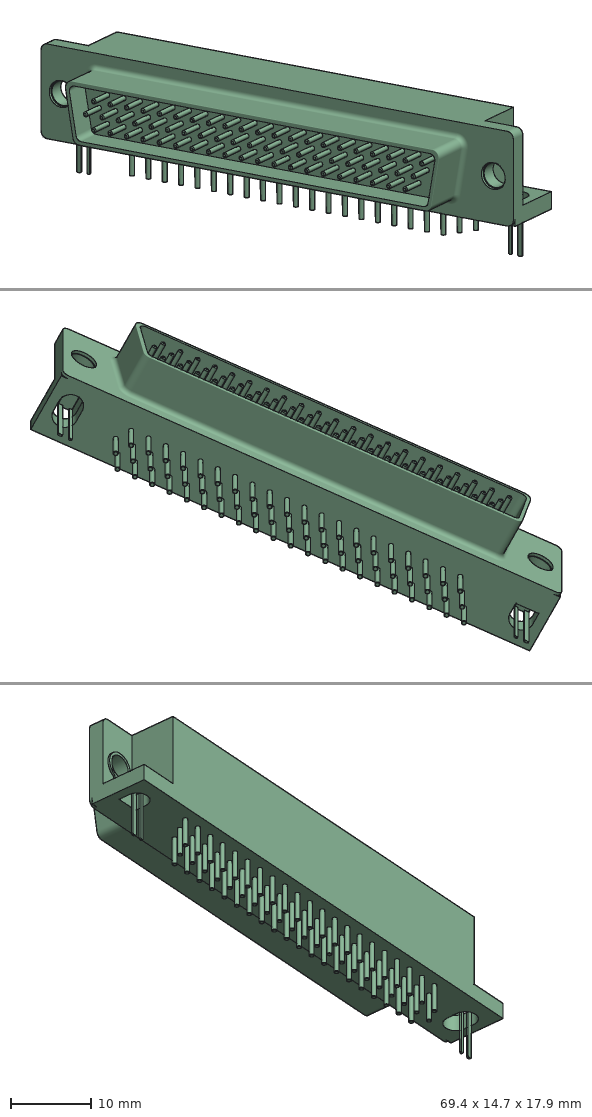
import cadquery as cq
import math


LENGTH = 69.4
DEPTH = 8.9
HEIGHT = 12.35
WING = 5.55
FLANGE = 2.2
PLATE = 0.4
SHELF = 2.3
CORNER_RADIUS = 0.9
MID_HEIGHT = HEIGHT / 2

HOLE_SPACING = 63.5
HOLE_DIAMETER = 3.2
PLATE_HOLE_DIAMETER = 3.5
SLOT_WIDTH = 3.2
SLOT_START = DEPTH - 2.0
SLOT_END = 2.1

SHELL_LENGTH = 5.8
SHELL_HEIGHT = 8.2
SHELL_TOP_WIDTH = 55.3
SIDE_ANGLE = 10.0
SHELL_RADIUS = 1.0
WALL = 0.55
SOCKET_FLOOR = 2.3
SOCKET_RADIUS = 0.75
BASE_RADIUS = 0.6
RIM_RADIUS = 0.1
PICK_MARGIN = 0.1

CONTACT_DIAMETER = 0.64
ROW_PITCH = 1.9
ROW_COUNTS = (20, 21, 21)
FULL_ROW_SPAN = 48.15
CONTACT_PITCH = FULL_ROW_SPAN / (max(ROW_COUNTS) - 1)
PIN_LENGTH = 5.6
TAIL_LENGTH = 3.95
TAIL_ROW_DEPTH = DEPTH - 3.6
PIN_CHAMFER = 0.15
TAIL_CHAMFER = 0.1
CONTACT_ROOT = 0.4

LOCK_THICKNESS = 0.3
LOCK_RING_DIAMETER = 4.0
LOCK_WIDTH = 1.95
LOCK_LEG_LENGTH = 5.55
OUTER_LEG = 0.6
INNER_LEG = 0.4
LEG_CHAMFER = 0.15
BEND_RADIUS = 0.2


def box(x_min, x_max, y_min, y_max, z_min, z_max):
    """Box given by its limits along each axis."""
    size = (x_max - x_min, y_max - y_min, z_max - z_min)
    return cq.Workplane("XY").box(*size, centered=False).translate((x_min, y_min, z_min))


def make_housing():
    """Long block with a face plate, open end corners and rounded flange corners."""
    half = LENGTH / 2
    body = box(-half, half, PLATE, DEPTH, 0, HEIGHT)
    body = body.edges("|Y and >Z").fillet(CORNER_RADIUS)
    plate = box(-half, half, 0, PLATE, 0, HEIGHT).edges("|Y").fillet(CORNER_RADIUS)
    body = body.union(plate)
    for side in (-1, 1):
        x_inner, x_outer = side * (half - WING), side * half
        corner = box(min(x_inner, x_outer), max(x_inner, x_outer), FLANGE, DEPTH, SHELF, HEIGHT)
        body = body.cut(corner)
    return body


def shelf_slot(x, round_front):
    """Upright slot through a shelf; the rear end is round, the front round or flat."""
    radius = SLOT_WIDTH / 2
    rear_center = SLOT_START - radius
    front_center = SLOT_END + radius
    slot = box(x - radius, x + radius, front_center, rear_center, 0, SHELF)
    round_ends = (rear_center, front_center) if round_front else (rear_center,)
    for y in round_ends:
        slot = slot.union(cq.Workplane("XY").center(x, y).circle(radius).extrude(SHELF))
    return slot


def d_prism(inset, corner_radius, start):
    """D-shaped prism from y = -start to the rim, its outline inset from the shell."""
    lean = math.radians(SIDE_ANGLE)
    half_height = SHELL_HEIGHT / 2 - inset
    mid_half_width = (SHELL_TOP_WIDTH - SHELL_HEIGHT * math.tan(lean)) / 2 - inset / math.cos(lean)
    top = mid_half_width + half_height * math.tan(lean)
    bottom = mid_half_width - half_height * math.tan(lean)
    outline = [(-top, half_height), (top, half_height), (bottom, -half_height), (-bottom, -half_height)]
    prism = (
        cq.Workplane("XZ", origin=(0, -start, MID_HEIGHT))
        .polyline(outline)
        .close()
        .extrude(SHELL_LENGTH - start)
    )
    return prism.edges("|Y").fillet(corner_radius)


def make_shell(body):
    """Hollow D-shaped shell with a hollow fillet at its foot and a softened rim."""
    body = body.union(d_prism(0, SHELL_RADIUS, 0))
    pick_x = SHELL_TOP_WIDTH / 2 + PICK_MARGIN
    pick_z = SHELL_HEIGHT / 2 + PICK_MARGIN
    foot_edges = cq.selectors.BoxSelector(
        (-pick_x, -PICK_MARGIN, MID_HEIGHT - pick_z),
        (pick_x, PICK_MARGIN, MID_HEIGHT + pick_z),
    )
    body = body.edges(foot_edges).fillet(BASE_RADIUS)
    body = body.faces("<Y").edges().fillet(RIM_RADIUS)
    return body.cut(d_prism(WALL, SOCKET_RADIUS, SOCKET_FLOOR))


def contact(length, tip_chamfer):
    """Round contact from its root at z = 0 down to its chamfered tip."""
    wire = cq.Workplane("XY").circle(CONTACT_DIAMETER / 2).extrude(-length)
    return wire.faces("<Z").chamfer(tip_chamfer)


def add_contacts(body):
    """Three rows of mating pins and the matching rows of solder tails."""
    pin = contact(PIN_LENGTH + CONTACT_ROOT, PIN_CHAMFER).rotate((0, 0, 0), (1, 0, 0), -90)
    tail = contact(TAIL_LENGTH + CONTACT_ROOT, TAIL_CHAMFER)
    first_x = -FULL_ROW_SPAN / 2 - CONTACT_PITCH / 4
    solids = []
    for row, count in enumerate(ROW_COUNTS):
        offset = (row - 1) * ROW_PITCH
        stagger = abs(row - 1) * CONTACT_PITCH / 2
        for i in range(count):
            x = first_x + stagger + i * CONTACT_PITCH
            solids.append(pin.val().translate(cq.Vector(x, CONTACT_ROOT, MID_HEIGHT + offset)))
            solids.append(tail.val().translate(cq.Vector(x, TAIL_ROW_DEPTH + offset, CONTACT_ROOT)))
    return cq.Workplane("XY").newObject([body.val().fuse(*solids)])


def board_lock(side):
    """Sheet-metal lock: ring behind the flange, foot on the shelf and two legs."""
    x = side * HOLE_SPACING / 2
    half = LOCK_WIDTH / 2
    back = FLANGE + LOCK_THICKNESS
    leg_back = TAIL_ROW_DEPTH + LOCK_THICKNESS / 2
    foot_top = SHELF + LOCK_THICKNESS
    ring = (
        cq.Workplane("XZ", origin=(x, back, MID_HEIGHT))
        .circle(LOCK_RING_DIAMETER / 2)
        .extrude(LOCK_THICKNESS)
    )
    strip = box(x - half, x + half, FLANGE, back, SHELF, MID_HEIGHT)
    foot = box(x - half, x + half, FLANGE, leg_back, SHELF, foot_top)
    foot = foot.faces(">Y").edges(">Z").fillet(BEND_RADIUS)
    lock = ring.union(strip).union(foot)
    outer_edge, inner_edge = x + side * half, x - side * half
    legs = (
        (outer_edge, outer_edge - side * OUTER_LEG),
        (inner_edge, inner_edge + side * INNER_LEG),
    )
    for edges in legs:
        leg_front = leg_back - LOCK_THICKNESS
        leg = box(min(edges), max(edges), leg_front, leg_back, -LOCK_LEG_LENGTH, SHELF)
        lock = lock.union(leg.faces("<Z").edges("|Y").chamfer(LEG_CHAMFER))
    return lock


def hole_pair(diameter, depth):
    """Cutters for both mounting holes, from the mating face to the given depth."""
    return (
        cq.Workplane("XZ", origin=(0, depth, MID_HEIGHT))
        .pushPoints([(-HOLE_SPACING / 2, 0), (HOLE_SPACING / 2, 0)])
        .circle(diameter / 2)
        .extrude(depth)
    )


connector = make_housing()
for side in (-1, 1):
    connector = connector.cut(shelf_slot(side * HOLE_SPACING / 2, round_front=side < 0))

connector = make_shell(connector)

for side in (-1, 1):
    connector = connector.union(board_lock(side))
connector = connector.cut(hole_pair(HOLE_DIAMETER, FLANGE + LOCK_THICKNESS))
connector = connector.cut(hole_pair(PLATE_HOLE_DIAMETER, PLATE))

result = add_contacts(connector)